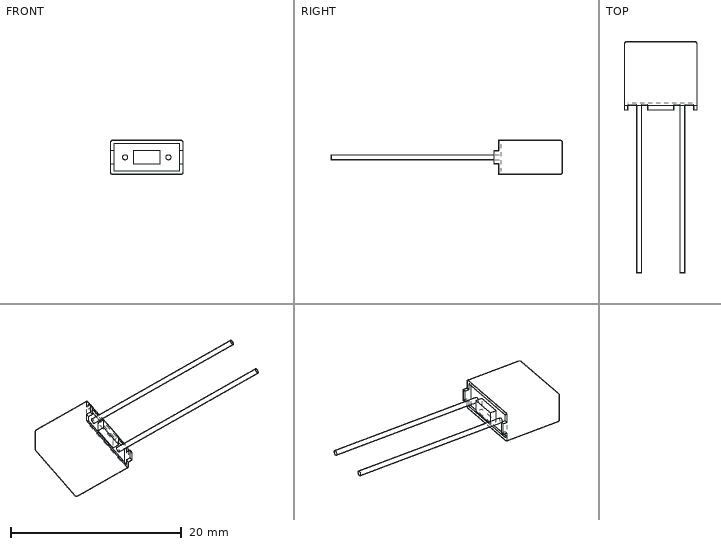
import cadquery as cq

total_length = 27.1
housing_width = 8.5
housing_height = 4.0
housing_depth = 7.48
edge_radius = 0.27

wall = 0.4
recess_depth = 0.27

standoff_projection = 0.55
standoff_height = 1.55
block_width = 3.05

lead_diameter = 0.6
lead_spacing = 5.07

lead_tip_y = housing_depth - total_length
recess_floor_y = recess_depth
standoff_end_y = -standoff_projection


def box_between(width, height, front_y, back_y, center_x=0.0):
    """Box centred on Z = 0 that spans front_y to back_y."""
    depth = back_y - front_y
    return cq.Workplane("XY").box(width, depth, height).translate((center_x, front_y + depth / 2, 0))


def make_housing():
    """Rounded case with a recessed front, a centre block and two side tabs."""
    body = box_between(housing_width, housing_height, 0, housing_depth)
    body = body.edges("|Y or >Y").fillet(edge_radius)

    recess = box_between(housing_width - 2 * wall, housing_height - 2 * wall, 0, recess_floor_y)
    body = body.cut(recess)

    block = box_between(block_width, standoff_height, standoff_end_y, recess_floor_y)
    body = body.union(block)

    tab_x = (housing_width - wall) / 2
    for side in (-1, 1):
        tab = box_between(wall, standoff_height, standoff_end_y, recess_floor_y, side * tab_x)
        body = body.union(tab)
    return body


def make_lead(center_x):
    """Straight round wire that starts on the recess floor."""
    lead_length = recess_floor_y - lead_tip_y
    lead = cq.Workplane("XZ").circle(lead_diameter / 2).extrude(lead_length)
    return lead.translate((center_x, recess_floor_y, 0))


housing = make_housing()
leads = [make_lead(side * lead_spacing / 2) for side in (-1, 1)]

result = cq.Compound.makeCompound([housing.val(), *[lead.val() for lead in leads]])